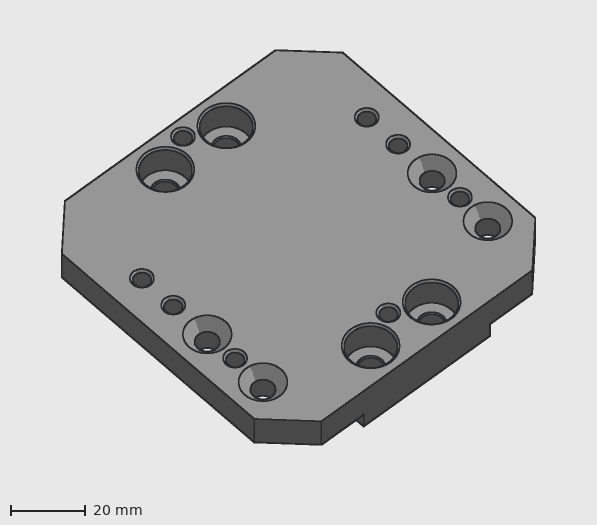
import cadquery as cq

plate_side = 101.6
plate_thickness = 10.2
corner_cut = 12.7
pad_height = 5.1
pad_width = 20.3
pad_length = 45.7

side_offset = 40.6
screw_spacing = 22.0
countersink_pair_x = 19.4
end_pin_x = (-17.5, -5.1, countersink_pair_x)
side_pin_shift = -5.1

pin_diameter = 5.0
pin_chamfer = 0.7

countersunk_hole_diameter = 6.7
countersink_diameter = 13.0
countersink_depth = (countersink_diameter - countersunk_hole_diameter) / 2

bolt_hole_diameter = 7.1
bolt_hole_chamfer = 0.4
counterbore_diameter = 14.2
counterbore_depth = 9.3
counterbore_chamfer = 0.6

total_height = pad_height + plate_thickness


def round_cut(x, y, top, diameter, depth):
    """Cylinder going down from the height top."""
    return cq.Workplane("XY", origin=(x, y, top)).circle(diameter / 2).extrude(-depth)


def cone_cut(x, y, top, small_diameter, depth):
    """90 degree cone that opens upward, from small_diameter at the bottom."""
    small_radius = small_diameter / 2
    cone = cq.Solid.makeCone(small_radius, small_radius + depth, depth)
    return cq.Workplane(cone.translate(cq.Vector(x, y, top - depth)))


def pin_hole(body, x, y):
    body = body.cut(round_cut(x, y, total_height, pin_diameter, total_height))
    return body.cut(cone_cut(x, y, total_height, pin_diameter, pin_chamfer))


def countersunk_hole(body, x, y):
    body = body.cut(round_cut(x, y, total_height, countersunk_hole_diameter, total_height))
    return body.cut(cone_cut(x, y, total_height, countersunk_hole_diameter, countersink_depth))


def counterbored_hole(body, x, y):
    floor = total_height - counterbore_depth
    body = body.cut(round_cut(x, y, total_height, bolt_hole_diameter, total_height))
    body = body.cut(cone_cut(x, y, floor, bolt_hole_diameter, bolt_hole_chamfer))
    body = body.cut(round_cut(x, y, total_height, counterbore_diameter, counterbore_depth))
    return body.cut(cone_cut(x, y, total_height, counterbore_diameter, counterbore_chamfer))


result = (
    cq.Workplane("XY", origin=(0, 0, pad_height))
    .rect(plate_side, plate_side)
    .extrude(plate_thickness)
    .edges("|Z")
    .chamfer(corner_cut)
)

pad_x = (plate_side - pad_width) / 2
pads = (
    cq.Workplane("XY")
    .pushPoints([(-pad_x, 0), (pad_x, 0)])
    .rect(pad_width, pad_length)
    .extrude(pad_height)
)
result = result.union(pads)

for side in (-side_offset, side_offset):
    for x in end_pin_x:
        result = pin_hole(result, x, side)
    result = pin_hole(result, side + side_pin_shift, 0)
    for half_spacing in (-screw_spacing / 2, screw_spacing / 2):
        result = countersunk_hole(result, countersink_pair_x + half_spacing, side)
        result = counterbored_hole(result, side, half_spacing)